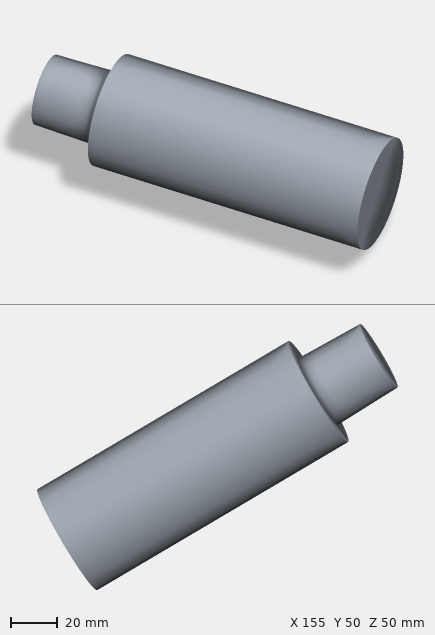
import cadquery as cq

total_length = 155.0
spigot_length = 30.0
body_diameter = 50.0
spigot_tip_diameter = 31.5
spigot_root_diameter = 33.0

body_radius = body_diameter / 2
tip_radius = spigot_tip_diameter / 2
root_radius = spigot_root_diameter / 2

half_profile = (
    cq.Workplane("XZ")
    .moveTo(0, 0)
    .lineTo(0, tip_radius)
    .lineTo(spigot_length, root_radius)
    .lineTo(spigot_length, body_radius)
    .lineTo(total_length, body_radius)
    .lineTo(total_length, 0)
    .close()
)

result = half_profile.revolve(360, (0, 0, 0), (1, 0, 0))